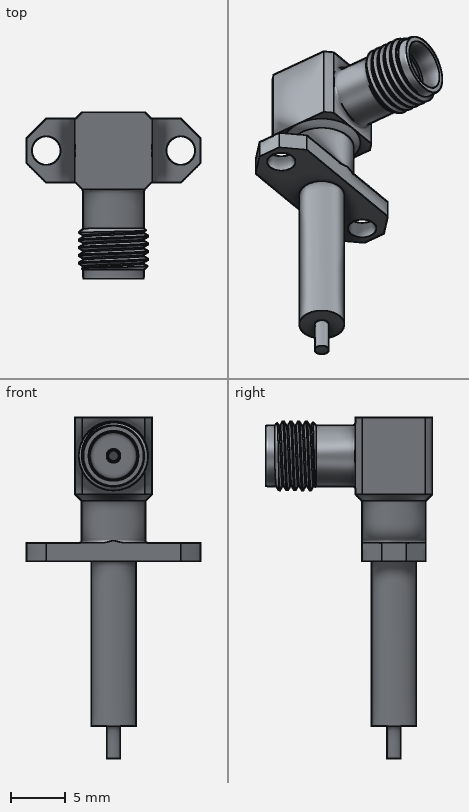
import cadquery as cq
import math

total_height = 31.05

head_size = 7.02
head_bevel = 0.65

body_diameter = 5.85
barrel_diameter = 4.1
pin_diameter = 1.27
pin_length = 2.95
base_fillet = 0.22

flange_length = 15.87
flange_top = 19.63
flange_thickness = 1.68
flange_bevel = 1.8
mount_hole_diameter = 2.58
mount_hole_offset = 6.12

overall_depth = 15.2
jack_diameter = 5.6
jack_bore_diameter = 4.57
jack_bore_depth = 2.02
bore_floor_diameter = 4.3
bore_floor_bevel = 0.15
mouth_bevel = 0.05
mouth_bevel_length = 0.22
contact_diameter = 1.18
contact_bore_diameter = 0.93
contact_depth = 1.85
contact_gap_diameter = 1.27

thread_diameter = 6.3
thread_start = 0.85
thread_length = 3.75
turns_run = 3.5
turns_in_run = 5
crest_width = 0.12
thread_root_overlap = 0.05

head_half = head_size / 2
head_bottom = total_height - head_size
jack_height = total_height - head_half
jack_length = overall_depth - head_size
jack_radius = jack_diameter / 2
body_radius = body_diameter / 2
flange_bottom = flange_top - flange_thickness
thread_pitch = turns_run / turns_in_run


def cylinder(diameter, bottom, top):
    return cq.Workplane("XY").workplane(offset=bottom).circle(diameter / 2).extrude(top - bottom)


def revolve_profile(points):
    """Turn a closed (radius, height) outline about the Z axis."""
    return cq.Workplane("XZ").polyline(points).close().revolve(360, (0, 0, 0), (0, 1, 0))


def root_fillet(radius):
    """Concave ring joining a cylinder to the plane Z = 0 beneath it."""
    mid = base_fillet * (1 - math.sqrt(0.5))
    return (
        cq.Workplane("XZ")
        .moveTo(0, 0)
        .lineTo(radius + base_fillet, 0)
        .threePointArc((radius + mid, mid), (radius, base_fillet))
        .lineTo(0, base_fillet)
        .close()
        .revolve(360, (0, 0, 0), (0, 1, 0))
    )


def make_head():
    block = (
        cq.Workplane("XY")
        .workplane(offset=head_bottom)
        .rect(head_size, head_size)
        .extrude(head_size)
        .edges("|Z")
        .chamfer(head_bevel)
    )
    neck_bottom = head_bottom - (head_half - body_radius)
    neck = revolve_profile(
        [(0, neck_bottom), (body_radius, neck_bottom), (head_half, head_bottom), (0, head_bottom)]
    )
    return block.union(neck)


def make_body():
    body = cylinder(body_diameter, flange_top, head_bottom)
    barrel = cylinder(barrel_diameter, pin_length, flange_top)
    pin = cylinder(pin_diameter, 0, pin_length)
    return body.union(barrel).union(pin)


def make_flange():
    plate = (
        cq.Workplane("XY")
        .workplane(offset=flange_bottom)
        .rect(flange_length, body_diameter)
        .extrude(flange_thickness)
        .edges("|Z")
        .chamfer(flange_bevel)
    )
    holes = (
        cq.Workplane("XY")
        .workplane(offset=flange_bottom)
        .pushPoints([(-mount_hole_offset, 0), (mount_hole_offset, 0)])
        .circle(mount_hole_diameter / 2)
        .extrude(flange_thickness)
    )
    edge_limit = cq.Workplane("XY").box(flange_length, body_diameter, head_size)
    fillet = root_fillet(body_radius).intersect(edge_limit)
    return plate.cut(holes).union(fillet.translate((0, 0, flange_top)))


def make_thread():
    """Helical ridge trimmed by 45 degree bevels; Z runs from the head to the tip."""
    top = jack_length - thread_start
    bottom = top - thread_length
    crest_radius = thread_diameter / 2
    depth = crest_radius - jack_radius
    core_radius = jack_radius - thread_root_overlap
    helix_bottom = bottom - thread_pitch
    helix_height = (math.ceil(thread_length / thread_pitch) + 2) * thread_pitch
    path = cq.Wire.makeHelix(thread_pitch, helix_height, jack_radius)
    half_root = 0.45 * thread_pitch
    ridge = (
        cq.Workplane("XZ")
        .polyline(
            [
                (core_radius, -half_root),
                (crest_radius, -crest_width / 2),
                (crest_radius, crest_width / 2),
                (core_radius, half_root),
            ]
        )
        .close()
        .sweep(cq.Workplane(path), isFrenet=True)
        .translate((0, 0, helix_bottom))
    )
    reach = 2 * depth
    envelope = revolve_profile(
        [
            (0, bottom - jack_radius),
            (jack_radius + reach, bottom + reach),
            (jack_radius + reach, top - reach),
            (0, top + jack_radius),
        ]
    )
    return ridge.intersect(envelope)


def make_jack():
    """Jack built along +Z from the head face, then turned to point toward -Y."""
    bevel_bottom = jack_length - mouth_bevel_length
    shell = revolve_profile(
        [
            (0, -head_bevel),
            (jack_radius, -head_bevel),
            (jack_radius, bevel_bottom),
            (jack_radius - mouth_bevel, jack_length),
            (0, jack_length),
        ]
    )
    flat_width = head_size - 2 * head_bevel
    fillet = root_fillet(jack_radius).intersect(cq.Workplane("XY").box(flat_width, head_size, head_size))
    bore_floor = jack_length - jack_bore_depth
    bore_radius = jack_bore_diameter / 2
    bore = revolve_profile(
        [
            (0, bore_floor),
            (bore_floor_diameter / 2, bore_floor),
            (bore_radius, bore_floor + bore_floor_bevel),
            (bore_radius, jack_length),
            (0, jack_length),
        ]
    )
    contact_base = bore_floor - contact_depth
    contact_bore = cylinder(contact_bore_diameter, contact_base, bore_floor)
    contact_tube = cylinder(contact_diameter, contact_base, bore_floor)
    contact_gap = cylinder(contact_gap_diameter, contact_base, bore_floor).cut(contact_tube)
    jack = (
        shell.union(make_thread())
        .union(fillet)
        .cut(bore)
        .cut(contact_gap)
        .cut(contact_bore)
    )
    return jack.rotate((0, 0, 0), (1, 0, 0), 90).translate((0, -head_half, jack_height))


result = make_head().union(make_body()).union(make_flange()).union(make_jack())